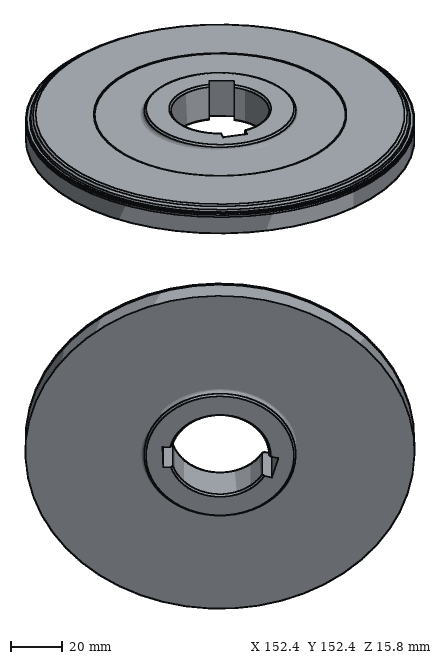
import cadquery as cq
import math

OUTER_DIAMETER = 152.4
TOTAL_HEIGHT = 15.8
RIM_BOTTOM = 2.3
FACE_TOP = 13.3

RECESS_DIAMETER = 98.1
RECESS_DEPTH = 0.2
RECESS_SLOPE_WIDTH = 0.5

LIP_BASE_DIAMETER = 149.0
LIP_WALL_TOP_DIAMETER = 148.5
LIP_WALL_HEIGHT = 0.9
LIP_BREAK_DIAMETER = 146.6
LIP_BREAK_BELOW_FACE = 0.5
FACE_DIAMETER = 144.5

RING_INNER_DIAMETER = 142.3
RING_BOTTOM = 9.6
RING_TOP = 11.0
RING_CHAMFER = 0.5

BOSS_DIAMETER = 59.5
BOSS_CHAMFER = 0.8
UPPER_FILLET = 1.8
LOWER_FILLET = 1.4

BORE_DIAMETER = 38.4
BORE_CHAMFER = 0.8
KEY_WIDTH = 9.8
KEY_REACH = 22.4
KEY_ANGLES = (0.0, 163.0)


def revolve_profile(points):
    """Turn a closed (radius, height) outline about Z."""
    return cq.Workplane("XZ").polyline(points).close().revolve(360, (0, 0, 0), (0, 1, 0))


def wheel_blank():
    outer_radius = OUTER_DIAMETER / 2
    lip_radius = LIP_BASE_DIAMETER / 2
    groove_radius = RING_INNER_DIAMETER / 2
    recess_radius = RECESS_DIAMETER / 2
    recess_z = FACE_TOP - RECESS_DEPTH
    return revolve_profile([
        (0, RIM_BOTTOM),
        (outer_radius, RIM_BOTTOM),
        (outer_radius, RING_BOTTOM),
        (groove_radius, RING_BOTTOM),
        (groove_radius, RING_TOP),
        (lip_radius, RING_TOP),
        (LIP_WALL_TOP_DIAMETER / 2, RING_TOP + LIP_WALL_HEIGHT),
        (LIP_BREAK_DIAMETER / 2, FACE_TOP - LIP_BREAK_BELOW_FACE),
        (FACE_DIAMETER / 2, FACE_TOP),
        (recess_radius + RECESS_SLOPE_WIDTH, FACE_TOP),
        (recess_radius, recess_z),
        (0, recess_z),
    ])


def hub_boss():
    """Hub through the wheel, with chamfered ends and a concave fillet onto each face."""
    radius = BOSS_DIAMETER / 2
    end_radius = radius - BOSS_CHAMFER
    upper_face_z = FACE_TOP - RECESS_DEPTH
    midpoint_ratio = 1 - math.sqrt(0.5)
    upper_offset = UPPER_FILLET * midpoint_ratio
    lower_offset = LOWER_FILLET * midpoint_ratio
    return (
        cq.Workplane("XZ")
        .moveTo(0, 0)
        .lineTo(end_radius, 0)
        .lineTo(radius, BOSS_CHAMFER)
        .lineTo(radius, RIM_BOTTOM - LOWER_FILLET)
        .threePointArc((radius + lower_offset, RIM_BOTTOM - lower_offset), (radius + LOWER_FILLET, RIM_BOTTOM))
        .lineTo(radius + UPPER_FILLET, upper_face_z)
        .threePointArc((radius + upper_offset, upper_face_z + upper_offset), (radius, upper_face_z + UPPER_FILLET))
        .lineTo(radius, TOTAL_HEIGHT - BOSS_CHAMFER)
        .lineTo(end_radius, TOTAL_HEIGHT)
        .lineTo(0, TOTAL_HEIGHT)
        .close()
        .revolve(360, (0, 0, 0), (0, 1, 0))
    )


def bore_cutter():
    """Bore with a chamfer at both ends."""
    radius = BORE_DIAMETER / 2
    mouth_radius = radius + BORE_CHAMFER
    return revolve_profile([
        (0, 0),
        (mouth_radius, 0),
        (radius, BORE_CHAMFER),
        (radius, TOTAL_HEIGHT - BORE_CHAMFER),
        (mouth_radius, TOTAL_HEIGHT),
        (0, TOTAL_HEIGHT),
    ])


def keyway_cutter(angle):
    """Straight slot from the axis outward, turned to the given angle about Z."""
    slot = cq.Workplane("XY").box(KEY_REACH, KEY_WIDTH, TOTAL_HEIGHT, centered=(False, True, False))
    return slot.rotate((0, 0, 0), (0, 0, 1), angle)


def make_wheel():
    body = wheel_blank().union(hub_boss()).cut(bore_cutter())
    for angle in KEY_ANGLES:
        body = body.cut(keyway_cutter(angle))
    return body


def make_rim_ring():
    """Flat ring seated in the wheel's edge groove, chamfered on its upper outer edge."""
    inner_radius = RING_INNER_DIAMETER / 2
    outer_radius = OUTER_DIAMETER / 2
    return revolve_profile([
        (inner_radius, RING_BOTTOM),
        (outer_radius, RING_BOTTOM),
        (outer_radius, RING_TOP - RING_CHAMFER),
        (outer_radius - RING_CHAMFER, RING_TOP),
        (inner_radius, RING_TOP),
    ])


wheel = make_wheel()
rim_ring = make_rim_ring()

result = cq.Compound.makeCompound([wheel.val(), rim_ring.val()])